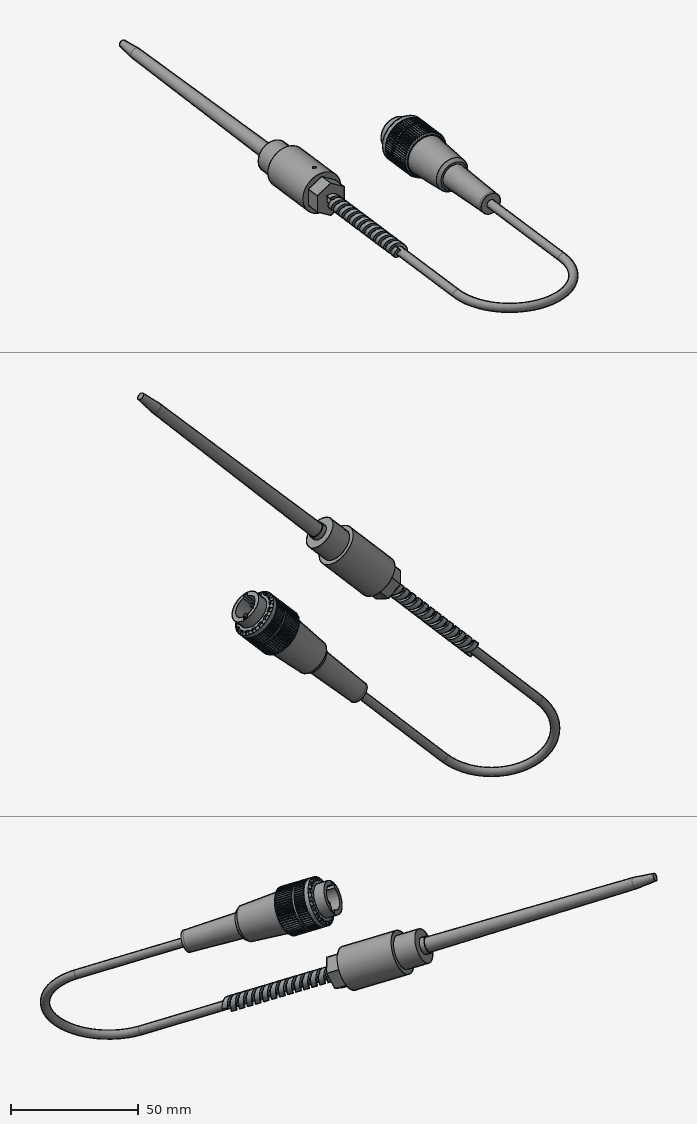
import cadquery as cq
import math

TIP_D = 3.0
TIP_DOME_HEIGHT = 0.3
TIP_END_X = 9.3
TIP_END_D = 4.7
SHAFT_END_X = 102.8
SHAFT_END_D = 6.2

SHOULDER_D = 7.0
COLLAR_X = 105.0
COLLAR_D = 14.0
GRIP_X = 114.5
GRIP_D = 18.0
HEX_X = 139.0
HEX_ACROSS_FLATS = 12.7
HANDLE_END_X = 145.2
SCREW_HOLE_X = 133.7
SCREW_HOLE_D = 1.5
SCREW_HOLE_DEPTH = 2.5

AXIS_SPACING = 49.9
CABLE_D = 3.6
LONGEST_SIDE = 259.7
BEND_R = AXIS_SPACING / 2
BEND_X = LONGEST_SIDE - CABLE_D / 2 - BEND_R

RELIEF_D = 6.2
RELIEF_END_X = 195.3
STRAND_BASE_WIDTH = 2.5
STRAND_CREST_WIDTH = 2.3
STRAND_COUNT = 2
STRAND_LEAD = 7.3
STRAND_START_ANGLE = 45.0

BARREL_X = 116.9
BARREL_D = 14.0
SOCKET_D = 10.0
SOCKET_DEPTH = 7.8
KEYWAY_WIDTH = 2.0
KEYWAY_DEPTH = 1.3
PIN_COUNT = 4
PIN_D = 1.5
PIN_CIRCLE_R = 3.5
PIN_RECESS = 3.6
CONE_START_D = 17.1
CONE_END_X = 156.0
CONE_END_D = 14.8
PLUG_END_X = 157.6
PLUG_END_D = 12.5

RING_X = 121.5
RING_END_X = 138.2
RING_D = 20.0
RING_CHAMFER = 0.8
RING_EDGE_D = 18.0
KNURL_START_X = 124.5
KNURL_GAP_START_X = 128.8
KNURL_GAP = 1.0
KNURL_COUNT = 60
KNURL_DEPTH = 0.5
KNURL_HALF_ANGLE = 40.0
SERRATION_COUNT = 16
SERRATION_WIDTH = 1.8
SERRATION_DEPTH = 0.8
SERRATION_INNER_R = 8.3

BOOT_START_D = 10.6
BOOT_TAPER_END_X = 182.0
BOOT_END_X = 183.0
BOOT_END_D = 9.0


def turned(stations, axis_y=0.0):
    """Solid of revolution about X through the given (x, diameter) stations."""
    points = [(x, diameter / 2) for x, diameter in stations]
    outline = [(points[0][0], 0), *points, (points[-1][0], 0)]
    solid = cq.Workplane("XY").polyline(outline).close().revolve(360, (0, 0, 0), (1, 0, 0))
    return solid.translate((0, axis_y, 0))


def cylinder(x_start, x_end, diameter, axis_y=0.0, axis_z=0.0):
    """Cylinder parallel to X."""
    base = cq.Workplane("YZ", origin=(x_start, axis_y, axis_z))
    return base.circle(diameter / 2).extrude(x_end - x_start)


def around_x(tool, count):
    """Copies of a tool spaced evenly around the X axis, moved onto the plug axis."""
    return [
        tool.rotate((0, 0, 0), (1, 0, 0), 360 * i / count).translate((0, AXIS_SPACING, 0)).val()
        for i in range(count)
    ]


def make_shaft():
    """Tapered shaft with a conical tip and a slightly domed front."""
    dome_r = (TIP_D**2 / 4 + TIP_DOME_HEIGHT**2) / (2 * TIP_DOME_HEIGHT)
    half_sweep = math.asin(TIP_D / 2 / dome_r) / 2
    dome_middle = (dome_r * (1 - math.cos(half_sweep)), dome_r * math.sin(half_sweep))
    return (
        cq.Workplane("XY")
        .threePointArc(dome_middle, (TIP_DOME_HEIGHT, TIP_D / 2))
        .lineTo(TIP_END_X, TIP_END_D / 2)
        .lineTo(SHAFT_END_X, SHAFT_END_D / 2)
        .lineTo(SHAFT_END_X, 0)
        .close()
        .revolve(360, (0, 0, 0), (1, 0, 0))
    )


def make_handle():
    """Stepped handle with a hexagonal end, a corner upward, and a radial screw hole."""
    body = turned([
        (SHAFT_END_X, SHOULDER_D),
        (COLLAR_X, SHOULDER_D),
        (COLLAR_X, COLLAR_D),
        (GRIP_X, COLLAR_D),
        (GRIP_X, GRIP_D),
        (HEX_X, GRIP_D),
    ])
    across_corners = HEX_ACROSS_FLATS / math.cos(math.pi / 6)
    hexagon = (
        cq.Workplane("YZ", origin=(HEX_X, 0, 0))
        .polygon(6, across_corners)
        .extrude(HANDLE_END_X - HEX_X)
        .rotate((0, 0, 0), (1, 0, 0), 30)
    )
    screw_hole = (
        cq.Workplane("XY", origin=(SCREW_HOLE_X, 0, GRIP_D / 2 - SCREW_HOLE_DEPTH))
        .circle(SCREW_HOLE_D / 2)
        .extrude(2 * SCREW_HOLE_DEPTH)
    )
    return body.union(hexagon).cut(screw_hole)


def make_strand(angle):
    """One left-handed helical strand of trapezoidal section, resting on the cable."""
    inner_r = CABLE_D / 2
    half_base = STRAND_BASE_WIDTH / 2
    half_crest = STRAND_CREST_WIDTH / 2
    length = RELIEF_END_X - HANDLE_END_X - STRAND_BASE_WIDTH
    helix = cq.Workplane(obj=cq.Wire.makeHelix(STRAND_LEAD, length, inner_r, lefthand=True))
    strand = (
        cq.Workplane("XZ")
        .moveTo(inner_r, -half_base)
        .lineTo(RELIEF_D / 2, -half_crest)
        .lineTo(RELIEF_D / 2, half_crest)
        .lineTo(inner_r, half_base)
        .close()
        .sweep(helix, isFrenet=True)
    )
    upright = strand.rotate((0, 0, 0), (0, 0, 1), angle)
    return upright.rotate((0, 0, 0), (0, 1, 0), 90).translate((HANDLE_END_X + half_base, 0, 0))


def make_cable():
    """Cable from the handle, round the bend and back to the boot."""
    path = (
        cq.Workplane("XY")
        .moveTo(HANDLE_END_X, 0)
        .lineTo(BEND_X, 0)
        .threePointArc((BEND_X + BEND_R, BEND_R), (BEND_X, AXIS_SPACING))
        .lineTo(BOOT_END_X, AXIS_SPACING)
    )
    return cq.Workplane("YZ", origin=(HANDLE_END_X, 0, 0)).circle(CABLE_D / 2).sweep(path)


def knurl_groove(x_start, x_end):
    """V-shaped groove along X at the top of the coupling ring."""
    root_z = RING_D / 2 - KNURL_DEPTH
    top_z = RING_D / 2 + KNURL_DEPTH
    half_width = (top_z - root_z) * math.tan(math.radians(KNURL_HALF_ANGLE))
    vee = [(0, root_z), (half_width, top_z), (-half_width, top_z)]
    return cq.Workplane("YZ", origin=(x_start, 0, 0)).polyline(vee).close().extrude(x_end - x_start)


def make_ring():
    """Chamfered ring with two knurled bands and a serrated front face."""
    ring = turned([
        (RING_X, RING_EDGE_D),
        (RING_X + RING_CHAMFER, RING_D),
        (RING_END_X - RING_CHAMFER, RING_D),
        (RING_END_X, RING_EDGE_D),
    ], AXIS_SPACING).cut(cylinder(RING_X, RING_END_X, BARREL_D, AXIS_SPACING))

    serration = cq.Workplane("XY").box(
        SERRATION_DEPTH, SERRATION_WIDTH, RING_D / 2, centered=(False, True, False)
    ).translate((RING_X, 0, SERRATION_INNER_R))
    grooves = [
        *around_x(knurl_groove(KNURL_START_X, KNURL_GAP_START_X), KNURL_COUNT),
        *around_x(knurl_groove(KNURL_GAP_START_X + KNURL_GAP, RING_END_X), KNURL_COUNT),
        *around_x(serration, SERRATION_COUNT),
    ]
    return cq.Workplane(ring.val().cut(*grooves).Solids()[0])


def make_plug():
    """Plug with a keyed socket at the front, contact pins inside and a conical rear."""
    plug = turned([
        (BARREL_X, BARREL_D),
        (RING_END_X, BARREL_D),
        (RING_END_X, CONE_START_D),
        (CONE_END_X, CONE_END_D),
        (PLUG_END_X, PLUG_END_D),
    ], AXIS_SPACING)
    floor_x = BARREL_X + SOCKET_DEPTH
    keyways = cq.Workplane("XY").box(
        SOCKET_DEPTH, KEYWAY_WIDTH, SOCKET_D + 2 * KEYWAY_DEPTH, centered=(False, True, True)
    ).translate((BARREL_X, AXIS_SPACING, 0))
    socket = cylinder(BARREL_X, floor_x, SOCKET_D, AXIS_SPACING)
    plug = plug.cut(socket).cut(keyways)
    for i in range(PIN_COUNT):
        angle = 2 * math.pi * i / PIN_COUNT
        pin_y = AXIS_SPACING + PIN_CIRCLE_R * math.cos(angle)
        pin_z = PIN_CIRCLE_R * math.sin(angle)
        plug = plug.union(cylinder(BARREL_X + PIN_RECESS, floor_x, PIN_D, pin_y, pin_z))
    return plug


def make_boot():
    """Tapered boot with a short cylindrical end."""
    return turned([
        (PLUG_END_X, BOOT_START_D),
        (BOOT_TAPER_END_X, BOOT_END_D),
        (BOOT_END_X, BOOT_END_D),
    ], AXIS_SPACING)


shaft = make_shaft()
handle = make_handle()
strands = [
    make_strand(STRAND_START_ANGLE + 360 * i / STRAND_COUNT).val() for i in range(STRAND_COUNT)
]
cable = make_cable()
ring = make_ring()
plug = make_plug()
boot = make_boot()

result = cq.Compound.makeCompound([
    shaft.val(),
    handle.val(),
    *strands,
    cable.val(),
    ring.val(),
    plug.val(),
    boot.val(),
])